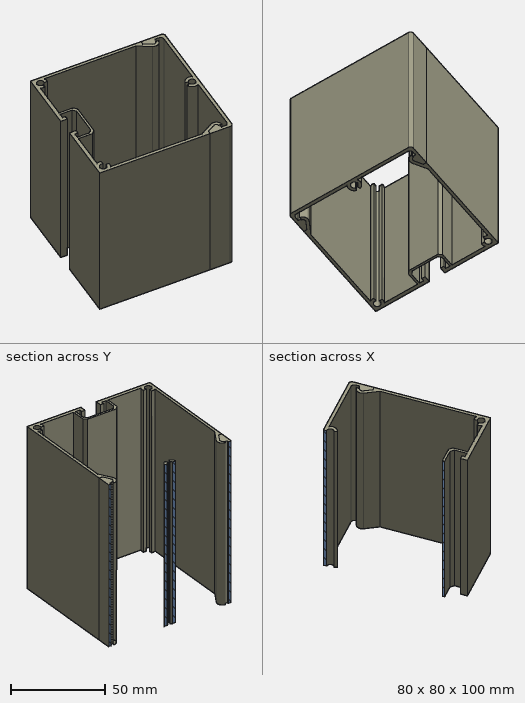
import cadquery as cq
import math

width = 80.0
depth = 80.0
length = 100.0
half_width = width / 2
front = -depth / 2
back = depth / 2

side_wall = 1.8
front_wall = 2.2
back_wall = 2.0

cover_corner_radius = 1.8
cover_inner_radius = 2.0
cover_skirt = 13.8
ledge_depth = 6.2

hook_inset = 3.3
hook_drop = 8.4
hook_inner_radius = 1.6
hook_outer_radius = 3.4
hook_tip_inset = 3.6
hook_slope = math.radians(30)

channel_bore_radius = 2.0
channel_outer_radius = 3.9
cover_channel_drop = 3.9
cover_channel_half_opening = math.radians(18)
corner_channel_x = 3.8
corner_channel_y = 4.0
corner_opening_x = 4.4
corner_opening_y = 4.8

slot_width = 10.0
lip_thickness = 2.2
lip_height = 4.0
track_width = 22.4
track_height = 12.4
track_wall = 1.3
track_chamfer = 1.8

left = -half_width
inner_left = left + side_wall
hook_x = left + hook_inset
hook_y = back - hook_drop
hook_tip_x = left + hook_tip_inset
ledge_y = back - ledge_depth
skirt_y = back - cover_skirt


def block(x_min, x_max, y_min, y_max):
    """Full-length rectangular bar between two corners of the section."""
    return cq.Workplane("XY").box(x_max - x_min, y_max - y_min, length, centered=False).translate(
        (x_min, y_min, 0)
    )


def rod(x, y, radius):
    """Full-length round bar."""
    return cq.Workplane("XY").center(x, y).circle(radius).extrude(length)


def with_mirror(shape):
    """A left-hand shape joined to its right-hand mirror image."""
    return shape.union(shape.mirror("YZ"))


def hook_point(radius, angle):
    """Point on a circle about the hook centre."""
    return (hook_x + radius * math.cos(angle), hook_y + radius * math.sin(angle))


def hook_arc(radius):
    """Start at the sloped arm, middle and end at the tip of a hook arc."""
    tip_angle = math.acos((hook_tip_x - hook_x) / radius)
    mid_angle = (tip_angle - hook_slope) / 2
    return [hook_point(radius, angle) for angle in (-hook_slope, mid_angle, tip_angle)]


arm_start, inner_middle, inner_tip = hook_arc(hook_inner_radius)
outer_start, outer_middle, outer_tip = hook_arc(hook_outer_radius)
arm_foot = (arm_start[0] - (arm_start[1] - skirt_y) * math.tan(hook_slope), skirt_y)
arm_root = (inner_left, outer_start[1] - (outer_start[0] - inner_left) / math.tan(hook_slope))


def make_hook():
    """Left snap hook, from the side wall up to its rounded tip."""
    return (
        cq.Workplane("XY")
        .moveTo(left, skirt_y)
        .lineTo(*arm_foot)
        .lineTo(*arm_start)
        .threePointArc(inner_middle, inner_tip)
        .lineTo(*outer_tip)
        .threePointArc(outer_middle, outer_start)
        .lineTo(*arm_root)
        .lineTo(left, arm_root[1])
        .close()
        .extrude(length)
    )


def make_skirt_pad():
    """Left thickened edge of the cover, filling the inside of the hook."""
    return (
        cq.Workplane("XY")
        .moveTo(left, skirt_y)
        .lineTo(*arm_foot)
        .lineTo(*arm_start)
        .threePointArc(inner_middle, inner_tip)
        .lineTo(hook_tip_x, ledge_y)
        .lineTo(left, ledge_y)
        .close()
        .extrude(length)
    )


def add_corner_channel(housing, side):
    """Add an open screw channel in a front corner; side is -1 or 1."""
    x = side * (half_width - corner_channel_x)
    y = front + corner_channel_y
    opening_start = side * (half_width - corner_opening_x)
    opening_end = opening_start - side * channel_outer_radius
    opening_bottom = front + corner_opening_y
    opening = block(
        min(opening_start, opening_end),
        max(opening_start, opening_end),
        opening_bottom,
        opening_bottom + channel_outer_radius,
    )
    ring = rod(x, y, channel_outer_radius).intersect(block(left, half_width, front, back))
    return housing.union(ring).cut(rod(x, y, channel_bore_radius)).cut(opening)


def make_track():
    """Chamfered channel behind the front slot."""
    half_track = track_width / 2
    inner_half = half_track - track_wall
    track_top = front + track_height
    outer = block(-half_track, half_track, front, track_top)
    inner = block(-inner_half, inner_half, front + front_wall, track_top - track_wall)
    outer = outer.edges("|Z and >Y").chamfer(track_chamfer)
    inner = inner.edges("|Z and >Y").chamfer(track_chamfer)
    return outer.cut(inner)


def make_housing():
    half_slot = slot_width / 2
    side = block(left, inner_left, front, skirt_y)
    lip = block(-half_slot - lip_thickness, -half_slot, front, front + lip_height)
    housing = block(left, half_width, front, front + front_wall)
    housing = housing.union(with_mirror(side)).union(with_mirror(make_hook()))
    housing = housing.union(make_track()).union(with_mirror(lip))
    housing = housing.cut(block(-half_slot, half_slot, front, front + lip_height))
    for corner_side in (-1, 1):
        housing = add_corner_channel(housing, corner_side)
    return housing


def make_cover():
    channel_y = back - cover_channel_drop
    shell = block(left, half_width, skirt_y, back).edges("|Z and >Y").fillet(cover_corner_radius)
    inside = block(inner_left, -inner_left, skirt_y, back - back_wall)
    shell = shell.cut(inside.edges("|Z and >Y").fillet(cover_inner_radius))
    cover = shell.union(with_mirror(make_skirt_pad()))
    cover = cover.union(rod(0, channel_y, channel_outer_radius))
    cover = cover.cut(rod(0, channel_y, channel_bore_radius))
    opening_half = channel_outer_radius * math.tan(cover_channel_half_opening)
    opening_y = channel_y - channel_outer_radius
    opening = (
        cq.Workplane("XY")
        .polyline([(0, channel_y), (-opening_half, opening_y), (opening_half, opening_y)])
        .close()
        .extrude(length)
    )
    return cover.cut(opening)


housing = make_housing()
cover = make_cover()
result = cq.Compound.makeCompound([housing.val(), cover.val()])